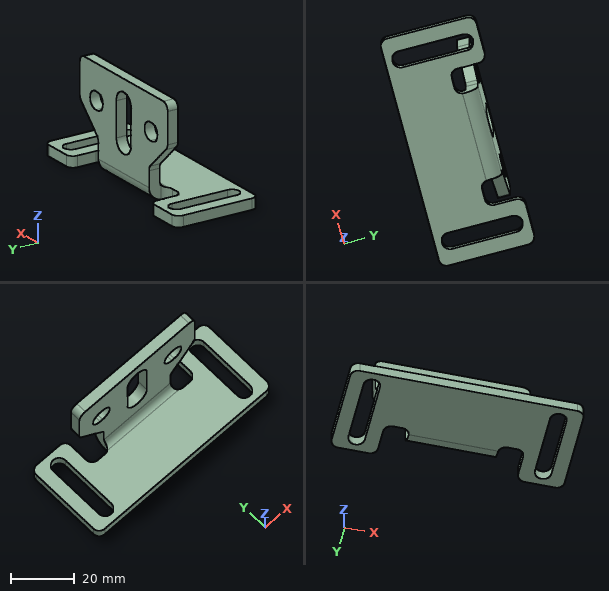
import cadquery as cq

thickness = 4.0
bend_inner_radius = 2.55
bend_outer_radius = 5.0
corner_radius = 2.55

base_length = 75.0
base_depth = 31.0
base_slot_spacing = 60.0
base_slot_width = 5.25
base_slot_length = 26.1

tab_front_y = 22.0
tab_back_y = tab_front_y + thickness
tab_height = 37.0
tab_width = 49.95
neck_width = 28.8
neck_top_z = 11.9
shoulder_z = 22.05

notch_outer_width = 45.0
notch_front_y = 19.0
notch_width = (notch_outer_width - neck_width) / 2
notch_center_x = (notch_outer_width + neck_width) / 4

center_slot_width = 8.3
center_slot_length = 20.9
center_slot_z = 22.0
side_slot_spacing = 31.0
side_slot_length = 7.3
side_slot_height = 6.2
side_slot_z = 24.3


def make_base():
    """Flat plate with two ears, open at the back between them."""
    opening_depth = base_depth - notch_front_y
    plate = cq.Workplane("XY").box(base_length, base_depth, thickness, centered=(True, False, False))
    opening = (
        cq.Workplane("XY")
        .box(notch_outer_width, opening_depth, thickness, centered=(True, False, False))
        .translate((0, notch_front_y, 0))
    )
    slots = (
        cq.Workplane("XY")
        .pushPoints([(side * base_slot_spacing / 2, base_depth / 2) for side in (-1, 1)])
        .slot2D(base_slot_length, base_slot_width, 90)
        .extrude(thickness)
    )
    return plate.cut(opening).edges("|Z").fillet(corner_radius).cut(slots)


def make_bend():
    """L-shaped side profile of the sheet, from the base through the bend to the tab top."""
    bend_start_y = tab_front_y - bend_inner_radius
    root_y = notch_front_y - corner_radius
    return (
        cq.Workplane("YZ")
        .moveTo(root_y, 0)
        .lineTo(tab_back_y - bend_outer_radius, 0)
        .radiusArc((tab_back_y, bend_outer_radius), -bend_outer_radius)
        .lineTo(tab_back_y, tab_height)
        .lineTo(tab_front_y, tab_height)
        .lineTo(tab_front_y, thickness + bend_inner_radius)
        .radiusArc((bend_start_y, thickness), bend_inner_radius)
        .lineTo(root_y, thickness)
        .close()
        .extrude(tab_width / 2, both=True)
    )


def make_front_outline():
    """Tab outline: wide head, sloping shoulders and a neck that flares at the base."""
    head = tab_width / 2
    neck = neck_width / 2
    flare = neck + corner_radius
    outline = (
        cq.Workplane("XZ")
        .polyline([
            (-neck, thickness + bend_inner_radius), (-neck, neck_top_z),
            (-head, shoulder_z), (-head, tab_height),
            (head, tab_height), (head, shoulder_z),
            (neck, neck_top_z), (neck, thickness + bend_inner_radius),
        ])
        .close()
        .extrude(-base_depth)
        .edges("|Y")
        .edges("not <Z")
        .fillet(corner_radius)
    )
    foot = cq.Workplane("XY").box(
        2 * flare, base_depth, thickness + bend_inner_radius, centered=(True, False, False)
    )
    return outline.union(foot)


def make_notches():
    """Rounded relief notches that trim the bend down to the neck width."""
    length = base_depth - notch_front_y
    return (
        cq.Workplane("XY")
        .pushPoints([(side * notch_center_x, notch_front_y + length / 2) for side in (-1, 1)])
        .rect(notch_width, length)
        .extrude(thickness + bend_inner_radius)
        .edges("|Z and <Y")
        .fillet(corner_radius)
    )


def make_tab_holes():
    """Upright center slot and two short level slots through the tab."""
    side_points = [(side * side_slot_spacing / 2, side_slot_z) for side in (-1, 1)]
    center_slot = (
        cq.Workplane("XZ")
        .center(0, center_slot_z)
        .slot2D(center_slot_length, center_slot_width, 90)
        .extrude(-base_depth)
    )
    side_slots = (
        cq.Workplane("XZ")
        .pushPoints(side_points)
        .slot2D(side_slot_length, side_slot_height)
        .extrude(-base_depth)
    )
    return center_slot.union(side_slots)


tab = make_bend().intersect(make_front_outline()).cut(make_notches()).cut(make_tab_holes())
result = make_base().union(tab)